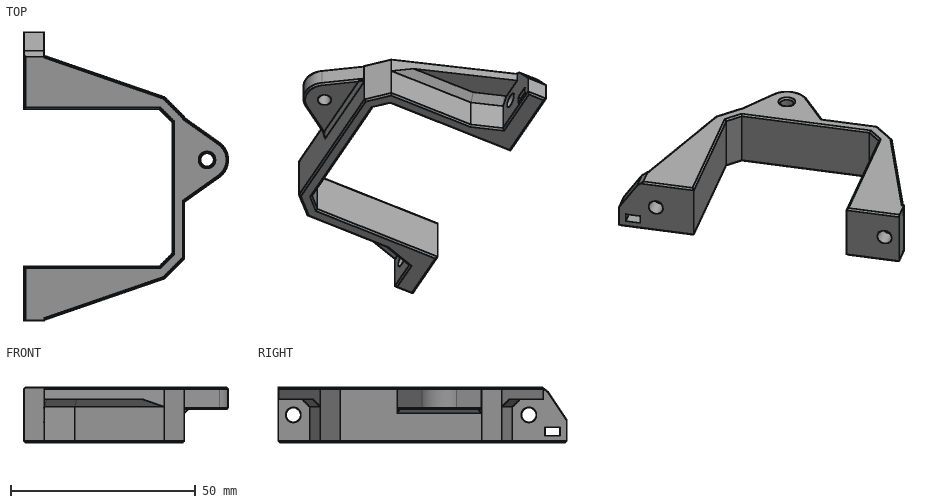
import cadquery as cq
import math

HEIGHT = 15.0
EDGE_CHAMFER = 0.5
CHAMFER_ANGLE = 45
WALL = 3.3

OPENING_DEPTH = 40.35
OPENING_HALF_WIDTH = 21.35
OPENING_CORNER = 3.5

BACK_X = OPENING_DEPTH + WALL
SIDE_Y = OPENING_HALF_WIDTH + WALL
OUTER_CORNER = OPENING_CORNER + WALL * (2 - math.sqrt(2))
CORNER_X = BACK_X - OUTER_CORNER
CORNER_Y = SIDE_Y - OUTER_CORNER

FOOT_LENGTH = 5.5
FOOT_END_Y = 36.1
ARM_TAPER_START_X = 5.0
FOOT_HOLE_DIAMETER = 4.0
FOOT_HOLE_Y = 32.0
FOOT_HOLE_Z = HEIGHT / 2

TAB_END_Y = 42.3
TAB_END_HEIGHT = 6.1
TAB_SLOPE_TOP_Y = 37.2
TAB_SLOPE_TOP_Z = 13.75
TAB_FACET_TOP_Y = 35.6
SLOT_WIDTH = 4.0
SLOT_HEIGHT = 2.2
SLOT_Y = 38.4
SLOT_Z = 3.0

FLANGE_THICKNESS = WALL
FLANGE_BOTTOM = HEIGHT - FLANGE_THICKNESS
FLANGE_CHAMFER = 2.0
WALL_FLARE_X = 13.9
FLARE_SLOPE = (FOOT_END_Y - SIDE_Y) / (CORNER_X - ARM_TAPER_START_X)
FLARE_FOOT_Y = SIDE_Y + FLARE_SLOPE * (WALL_FLARE_X - FOOT_LENGTH)

LUG_X = 49.8
LUG_Y = 7.6
LUG_RADIUS = 5.75
LUG_THICKNESS = 6.0
LUG_BOTTOM = HEIGHT - LUG_THICKNESS
LUG_SIDE_ANGLE = math.radians(35.3)
LUG_HOLE_DIAMETER = 3.6
LUG_ROOT_CHAMFER = 1.0


def prism(points, bottom, top):
    """Upright prism over a closed XY outline."""
    return cq.Workplane("XY").workplane(offset=bottom).polyline(points).close().extrude(top - bottom)


def bracket_outline(arm_points):
    """Closed U outline; arm_points run along the outer +Y arm from its end towards the corner."""
    half = [
        (0, OPENING_HALF_WIDTH),
        *arm_points,
        (CORNER_X, SIDE_Y),
        (BACK_X, CORNER_Y),
    ]
    inner_half = [
        (OPENING_DEPTH, OPENING_HALF_WIDTH - OPENING_CORNER),
        (OPENING_DEPTH - OPENING_CORNER, OPENING_HALF_WIDTH),
    ]
    mirrored_half = [(x, -y) for x, y in reversed(half)]
    mirrored_inner = [(x, -y) for x, y in reversed(inner_half)]
    return half + mirrored_half + mirrored_inner + inner_half


FLANGE_OUTLINE = bracket_outline([(0, FOOT_END_Y), (ARM_TAPER_START_X, FOOT_END_Y)])
WALL_OUTLINE = bracket_outline([(0, FLARE_FOOT_Y), (FOOT_LENGTH, FLARE_FOOT_Y), (WALL_FLARE_X, SIDE_Y)])


def spreading_wall(top, spread):
    """Band of the wall that widens upwards at 45 degrees by the given amount."""
    band = cq.Workplane("XY").workplane(offset=top - spread).polyline(WALL_OUTLINE).close()
    return band.extrude(spread, taper=-CHAMFER_ANGLE)


def make_lug():
    """Rounded, tapering plate merging into the back wall, with its root chamfer."""
    tangent_dx = LUG_RADIUS * math.sin(LUG_SIDE_ANGLE)
    tangent_dy = LUG_RADIUS * math.cos(LUG_SIDE_ANGLE)
    root_x = BACK_X - WALL / 2
    root_dy = tangent_dy + (LUG_X + tangent_dx - root_x) * math.tan(LUG_SIDE_ANGLE)

    def footprint(bottom, height):
        return (
            cq.Workplane("XY")
            .workplane(offset=bottom)
            .moveTo(root_x, LUG_Y - root_dy)
            .lineTo(LUG_X + tangent_dx, LUG_Y - tangent_dy)
            .threePointArc((LUG_X + LUG_RADIUS, LUG_Y), (LUG_X + tangent_dx, LUG_Y + tangent_dy))
            .lineTo(root_x, LUG_Y + root_dy)
            .close()
            .extrude(height)
        )

    plate = footprint(LUG_BOTTOM, LUG_THICKNESS)
    plate = plate.faces("<Z").edges("not <X").chamfer(EDGE_CHAMFER)
    root_band = spreading_wall(LUG_BOTTOM, LUG_ROOT_CHAMFER)
    root = footprint(LUG_BOTTOM - LUG_ROOT_CHAMFER, LUG_ROOT_CHAMFER).intersect(root_band)
    return plate.union(root)


def make_feet():
    """Full-height blocks at the arm ends; the +Y one also carries the tab."""
    lower_depth = FOOT_END_Y - OPENING_HALF_WIDTH
    upper_depth = TAB_END_Y - OPENING_HALF_WIDTH
    lower = cq.Workplane("XY", origin=(0, -FOOT_END_Y, 0)).box(
        FOOT_LENGTH, lower_depth, HEIGHT, centered=False
    )
    upper = cq.Workplane("XY", origin=(0, OPENING_HALF_WIDTH, 0)).box(
        FOOT_LENGTH, upper_depth, HEIGHT, centered=False
    )
    return lower.union(upper)


def make_body():
    """U-shaped wall joined with the flanges, feet and lug, before chamfers and holes."""
    flange = prism(FLANGE_OUTLINE, FLANGE_BOTTOM, HEIGHT)
    wall = prism(WALL_OUTLINE, 0, HEIGHT)
    flange_support = spreading_wall(FLANGE_BOTTOM, FLANGE_CHAMFER).intersect(
        prism(FLANGE_OUTLINE, 0, HEIGHT)
    )
    return wall.union(flange).union(flange_support).union(make_feet()).union(make_lug()).clean()


def chamfer_edges(body):
    """Break the whole bottom outline and the top outline, leaving the foot ends sharp on top."""
    body = body.faces("<Z").edges().chamfer(EDGE_CHAMFER)
    limit_y = FOOT_END_Y - EDGE_CHAMFER
    top_edges = body.faces(">Z").edges().filter(lambda edge: abs(edge.Center().y) < limit_y)
    return top_edges.chamfer(EDGE_CHAMFER)


def tab_slope_cutter():
    """Removes the corner above the sloped top of the tab."""
    return (
        cq.Workplane("YZ")
        .moveTo(TAB_END_Y, TAB_END_HEIGHT)
        .lineTo(TAB_SLOPE_TOP_Y, TAB_SLOPE_TOP_Z)
        .lineTo(TAB_FACET_TOP_Y, HEIGHT)
        .lineTo(TAB_END_Y, HEIGHT)
        .close()
        .extrude(FOOT_LENGTH)
    )


def foot_opening_cutter():
    """Screw holes through both feet and the slot through the tab."""
    holes = (
        cq.Workplane("YZ")
        .pushPoints([(-FOOT_HOLE_Y, FOOT_HOLE_Z), (FOOT_HOLE_Y, FOOT_HOLE_Z)])
        .circle(FOOT_HOLE_DIAMETER / 2)
        .extrude(FOOT_LENGTH)
    )
    slot = cq.Workplane("YZ").center(SLOT_Y, SLOT_Z).rect(SLOT_WIDTH, SLOT_HEIGHT).extrude(FOOT_LENGTH)
    return holes.union(slot)


def lug_hole_cutter():
    """Through hole with a chamfered rim on the top face."""
    hole_radius = LUG_HOLE_DIAMETER / 2
    rim = (
        cq.Workplane("XY", origin=(LUG_X, LUG_Y, HEIGHT))
        .circle(hole_radius + EDGE_CHAMFER)
        .extrude(-EDGE_CHAMFER, taper=CHAMFER_ANGLE)
    )
    hole = cq.Workplane("XY", origin=(LUG_X, LUG_Y, 0)).circle(hole_radius).extrude(HEIGHT)
    return hole.union(rim)


body = chamfer_edges(make_body())
result = body.cut(tab_slope_cutter()).cut(foot_opening_cutter()).cut(lug_hole_cutter())